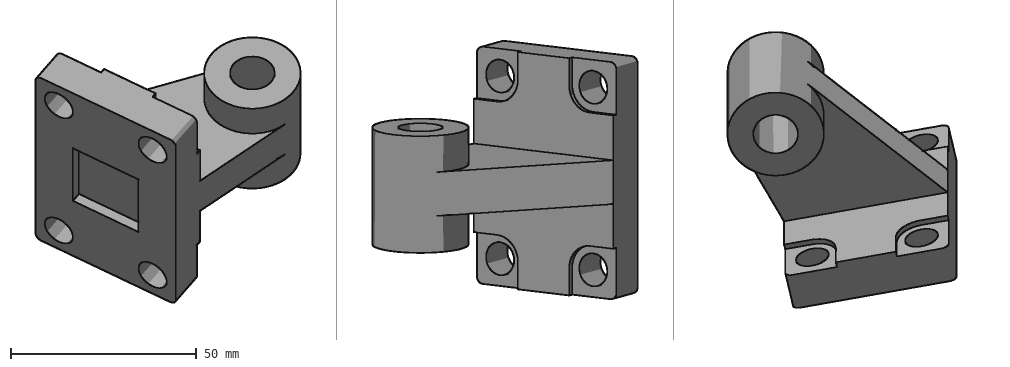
import cadquery as cq
import math

plate_width = 45.0
plate_height = 65.0
plate_thickness = 12.0
plate_corner_radius = 2.0

hole_diameter = 9.0
hole_pitch_x = 30.0
hole_pitch_z = 50.0
seat_radius = 6.75
seat_depth = 1.5

pocket_side = 21.0
pocket_depth = 3.0

boss_diameter = 26.0
boss_length = 32.0
bore_diameter = 12.0
boss_x = 18.0
boss_y = 45.0
web_thickness = 12.0

boss_radius = boss_diameter / 2


def tangent_point(x, y, side):
    """Point where a line from (x, y) touches the boss; side is +1 for its left, -1 for its right."""
    dx = boss_x - x
    dy = boss_y - y
    direction = math.atan2(dy, dx) + side * math.asin(boss_radius / math.hypot(dx, dy))
    normal = direction + side * math.pi / 2
    return (boss_x + boss_radius * math.cos(normal), boss_y + boss_radius * math.sin(normal))


def centred_prism(width, depth, height):
    """Box centred on x and z that runs back from the front face."""
    return cq.Workplane("XY").box(width, depth, height, centered=(True, False, True))


def make_plate():
    plate = centred_prism(plate_width, plate_thickness, plate_height)
    return plate.edges("|Y").fillet(plate_corner_radius)


def make_web():
    left = -plate_width / 2
    right = plate_width / 2
    outline = (
        cq.Workplane("XY", origin=(0, 0, -web_thickness / 2))
        .moveTo(left, plate_thickness)
        .lineTo(right, plate_thickness)
        .lineTo(*tangent_point(right, plate_thickness, -1))
        .lineTo(boss_x, boss_y)
        .lineTo(*tangent_point(left, plate_thickness, 1))
        .close()
    )
    return outline.extrude(web_thickness)


def boss_cylinder(diameter):
    base = cq.Workplane("XY", origin=(boss_x, boss_y, -boss_length / 2))
    return base.circle(diameter / 2).extrude(boss_length)


def make_corner_seat(side_x, side_z):
    """Recess covering one rear corner of the plate, its inner corner rounded about the hole axis."""
    inner_x = hole_pitch_x / 2 - seat_radius
    inner_z = hole_pitch_z / 2 - seat_radius
    seat_width = plate_width / 2 - inner_x
    seat_height = plate_height / 2 - inner_z
    seat = (
        cq.Workplane("XY")
        .box(seat_width, seat_depth, seat_height, centered=False)
        .edges("|Y and <X and <Z")
        .fillet(seat_radius)
        .translate((inner_x, plate_thickness - seat_depth, inner_z))
    )
    if side_x < 0:
        seat = seat.mirror("YZ")
    if side_z < 0:
        seat = seat.mirror("XY")
    return seat


def make_mounting_hole(side_x, side_z):
    centre = (side_x * hole_pitch_x / 2, 0, side_z * hole_pitch_z / 2)
    return cq.Workplane("XZ", origin=centre).circle(hole_diameter / 2).extrude(-plate_thickness)


result = make_plate().union(make_web()).union(boss_cylinder(boss_diameter))
result = result.cut(boss_cylinder(bore_diameter))
result = result.cut(centred_prism(pocket_side, pocket_depth, pocket_side))
for side_x in (-1, 1):
    for side_z in (-1, 1):
        result = result.cut(make_corner_seat(side_x, side_z))
        result = result.cut(make_mounting_hole(side_x, side_z))